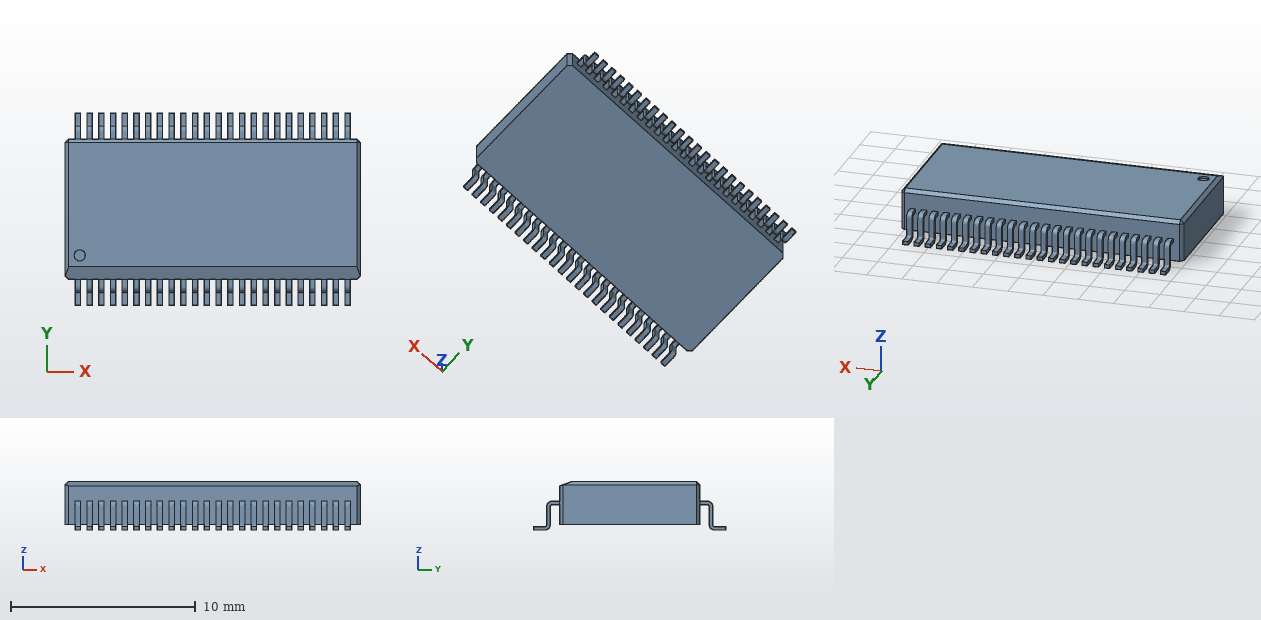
import cadquery as cq

BODY_LENGTH = 16.0
BODY_WIDTH = 7.6
BODY_BOTTOM = 0.3
BODY_TOP = 2.65
CORNER_CHAMFER = 0.2
TOP_CHAMFER = 0.2

FACET_CUTTER_SIZE = 2.0

BEVEL_RUN = 0.7
BEVEL_DROP = 0.25

DIMPLE_DIAMETER = 0.6
DIMPLE_DEPTH = 0.1
DIMPLE_X = -7.2
DIMPLE_Y = -2.5

LEADS_PER_SIDE = 24
LEAD_PITCH = 0.635
LEAD_WIDTH = 0.3
LEAD_THICKNESS = 0.2
LEAD_SPAN = 10.4
LEG_OUTER_Y = 4.5
BEND_INNER_RADIUS = 0.1
LEAD_EMBED = 0.2

BODY_HEIGHT = BODY_TOP - BODY_BOTTOM

LEAD_SHOULDER_TOP = (BODY_BOTTOM + BODY_TOP + LEAD_THICKNESS) / 2

HALF_LENGTH = BODY_LENGTH / 2
HALF_WIDTH = BODY_WIDTH / 2
BEND_OUTER_RADIUS = BEND_INNER_RADIUS + LEAD_THICKNESS


def make_body():
    section = [
        (-HALF_WIDTH, BODY_BOTTOM),
        (HALF_WIDTH, BODY_BOTTOM),
        (HALF_WIDTH, BODY_TOP - TOP_CHAMFER),
        (HALF_WIDTH - TOP_CHAMFER, BODY_TOP),
        (-HALF_WIDTH + BEVEL_RUN, BODY_TOP),
        (-HALF_WIDTH, BODY_TOP - BEVEL_DROP),
    ]
    bar = cq.Workplane("YZ").polyline(section).close().extrude(HALF_LENGTH, both=True)

    plan = (
        cq.Workplane("XY", origin=(0, 0, BODY_BOTTOM))
        .rect(BODY_LENGTH, BODY_WIDTH)
        .extrude(BODY_HEIGHT)
        .edges("|Z")
        .chamfer(CORNER_CHAMFER)
    )

    profile = (
        cq.Workplane("XY", origin=(0, 0, BODY_BOTTOM))
        .rect(BODY_LENGTH, BODY_WIDTH)
        .extrude(BODY_HEIGHT)
        .edges("|Y and >Z")
        .chamfer(TOP_CHAMFER)
    )
    return bar.intersect(plan).intersect(profile)


def make_corner_facet_cutter(side):
    """Block that flattens one top corner on +Y; side is -1 for -X and 1 for +X."""
    facet = cq.Plane(
        origin=(side * (HALF_LENGTH - TOP_CHAMFER), HALF_WIDTH - TOP_CHAMFER, BODY_TOP),
        xDir=(1, -side, 0),
        normal=(side, 1, 1),
    )
    return cq.Workplane(facet).rect(FACET_CUTTER_SIZE, FACET_CUTTER_SIZE).extrude(FACET_CUTTER_SIZE)


def make_dimple():
    return (
        cq.Workplane("XY", origin=(DIMPLE_X, DIMPLE_Y, BODY_TOP))
        .circle(DIMPLE_DIAMETER / 2)
        .extrude(-DIMPLE_DEPTH)
    )


def make_lead():
    """One lead on the +Y side, centred on X = 0 with its foot on Z = 0."""
    root_y = HALF_WIDTH - LEAD_EMBED
    leg_inner_y = LEG_OUTER_Y - LEAD_THICKNESS
    toe_y = LEAD_SPAN / 2
    shoulder_bottom = LEAD_SHOULDER_TOP - LEAD_THICKNESS

    upper_bend_y = LEG_OUTER_Y - BEND_OUTER_RADIUS
    upper_bend_z = LEAD_SHOULDER_TOP - BEND_OUTER_RADIUS
    lower_bend_y = leg_inner_y + BEND_OUTER_RADIUS
    lower_bend_z = BEND_OUTER_RADIUS

    return (
        cq.Workplane("YZ")
        .moveTo(root_y, LEAD_SHOULDER_TOP)
        .lineTo(upper_bend_y, LEAD_SHOULDER_TOP)
        .radiusArc((LEG_OUTER_Y, upper_bend_z), BEND_OUTER_RADIUS)
        .lineTo(LEG_OUTER_Y, lower_bend_z)
        .radiusArc((lower_bend_y, LEAD_THICKNESS), -BEND_INNER_RADIUS)
        .lineTo(toe_y, LEAD_THICKNESS)
        .lineTo(toe_y, 0)
        .lineTo(lower_bend_y, 0)
        .radiusArc((leg_inner_y, lower_bend_z), BEND_OUTER_RADIUS)
        .lineTo(leg_inner_y, upper_bend_z)
        .radiusArc((upper_bend_y, shoulder_bottom), -BEND_INNER_RADIUS)
        .lineTo(root_y, shoulder_bottom)
        .close()
        .extrude(LEAD_WIDTH / 2, both=True)
    )


def make_leads():
    back_lead = make_lead()
    front_lead = back_lead.mirror("XZ")
    first_x = -LEAD_PITCH * (LEADS_PER_SIDE - 1) / 2
    leads = []
    for index in range(LEADS_PER_SIDE):
        offset = (first_x + index * LEAD_PITCH, 0, 0)
        leads.append(back_lead.translate(offset).val())
        leads.append(front_lead.translate(offset).val())
    return cq.Workplane("XY").newObject(leads).combine()


body = make_body().cut(make_dimple())
for side in (-1, 1):
    body = body.cut(make_corner_facet_cutter(side))

result = body.union(make_leads())